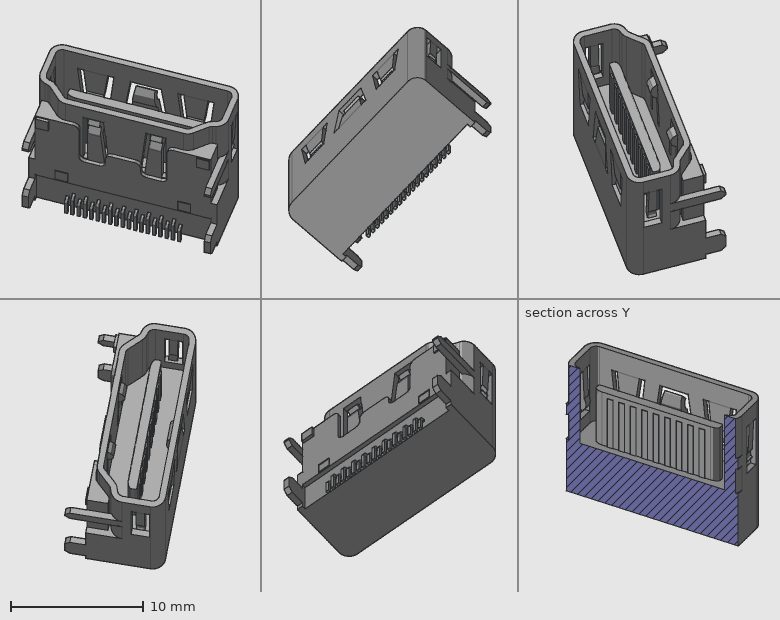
import cadquery as cq
import math


width = 15.0
half_width = width / 2
top_z = 12.0
bottom_z = 0.44
back_y = 5.97
wall = 0.5
corner_radius = 1.0
inner_half_width = half_width - wall

shell_front_y = 0.4
shell_inner_back_y = back_y - wall
shell_side_end_y = 2.05
corner_end_y = 3.0
shell_neck_x = 6.42
shell_neck_y = 1.71
shell_front_x = shell_neck_x - (shell_neck_y - shell_front_y)
neck_radius = corner_radius - wall

block_top_z = 10.22
block_back_y = 1.64
base_top_z = 5.2
shell_gap = 0.1
recess_top_z = 3.4
recess_depth = 0.33

notch_outer_x = 3.51
notch_inner_x = 1.41
notch_bottom_z = 6.3
bridge_top_z = 7.68
notch_radius = 0.5

slot_bottom_z = 6.3
slot_taper = 0.1

front_slot_x = 3.32
front_slot_top_z = 10.9
front_slot_top_width = 1.64
front_spring_x = 2.94
front_spring_top_width = 0.87

back_slot_top_z = 10.23
centre_slot_top_half = 1.23
centre_spring_top_half = 0.75
centre_spring_taper = 0.14
centre_slot_taper = 0.14
back_side_x = 3.99
back_side_slot_top_half = 1.44
back_side_spring_top_half = 0.96
back_side_spring_taper = 0.12

side_slot_back_y = 4.89
side_slot_front_y = 3.5
side_slot_top_z = 10.5
side_spring_back_y = 4.52
side_spring_front_y = 3.85

front_strip_top_z = 9.2
front_bend_points = [(0.08, 9.52), (0.28, 9.8)]
front_crest_z = 9.69
front_crest_depth = 0.93
front_crest_foot_z = 9.08
lead_start = (0.35, 9.95)
lead_angle = 38.0
lead_inner_length = 0.55

strip_lean = 0.1

hanging_crest_z = 7.55
hanging_crest_depth = 0.76
hanging_hollow_depth = 0.28
hanging_hollow_half_height = 0.38
hanging_tip_depth = 0.42
hanging_tip_length = 0.68

centre_crest_z = 9.05
centre_crest_depth = 0.93
centre_hollow_depth = 0.36
centre_hollow_half_height = 0.46
centre_tip_depth = 0.54
centre_tip_length = 0.93

tongue_half_width = 5.42
tongue_back_y = 3.54
tongue_front_y = 2.79
tongue_top_z = 10.04
tongue_back_radius = 0.1
tongue_curve_width = 0.68
tongue_curve_height = 0.25
pad_top_z = 9.6
pad_width = 0.5
back_pad_height = 0.12
front_pad_height = 0.05
back_pad_count = 10
front_pad_count = 9

pin_count = 19
pin_row_length = 9.0
pin_pitch = pin_row_length / (pin_count - 1)
pad_pitch = 2 * pin_pitch
pin_width = 0.24
pin_thickness = 0.24
pin_front_y = -0.12
pin_bend_radius = 0.4
short_pin_top_z = 1.5
long_pin_top_z = 1.95

leg_tip_y = -1.6
leg_chamfer = 0.39
upper_leg_z = (7.41, 8.4)
lower_leg_z = (0.92, 2.95)
standoff_size = 1.02
upper_standoff_x = 6.39
upper_standoff_z = 9.6
lower_standoff_x = 4.89
lower_standoff_z = 4.0
left_standoff_height = 0.22
right_standoff_height = 0.1
lower_standoff_height = 0.06

sides = (-1, 1)


def box(x_range, y_range, z_range):
    """Box between two limits on each axis, given in any order."""
    spans = [sorted(limits) for limits in (x_range, y_range, z_range)]
    size = [high - low for low, high in spans]
    corner = [low for low, high in spans]
    return cq.Workplane("XY").box(*size, centered=False).translate(tuple(corner))


def prism_along_y(points, y_from, y_to):
    """Extrude an XZ outline between two Y positions."""
    return cq.Workplane("XZ", origin=(0, y_from, 0)).polyline(points).close().extrude(y_from - y_to)


def mirrored_in_x(solid):
    return solid.union(solid.mirror("YZ"))


def shell_outline():
    """Closed outer outline of the shell, with rounded corners, as a wire at Z = 0."""
    half_corners = [
        (half_width, back_y, corner_radius),
        (half_width, shell_side_end_y, corner_radius),
        (shell_neck_x, shell_neck_y, neck_radius),
        (shell_front_x, shell_front_y, corner_radius),
    ]
    right = [(x, y) for x, y, radius in half_corners]
    left = [(-x, y) for x, y in reversed(right)]
    prism = cq.Workplane("XY").polyline(right + left).close().extrude(0.15)
    for x, y, radius in half_corners:
        for side in sides:
            corner = cq.selectors.NearestToPointSelector((side * x, y, 0.08))
            prism = prism.edges("|Z").edges(corner).fillet(radius)
    return prism.faces("<Z").wires().val()


def shell_prism(offset, z_from, z_to):
    """Solid with the shell outline grown by an offset."""
    outline = cq.Workplane("XY").add(shell_outline()).toPending()
    if offset:
        outline = outline.offset2D(offset)
    return outline.extrude(z_to - z_from).translate((0, 0, z_from))


def solid_body():
    """Shell outline over the full height, filled out to a square front below the block."""
    square_front = box((-half_width, half_width), (0, corner_end_y), (bottom_z, base_top_z))
    solid = shell_prism(0, bottom_z, top_z).union(square_front)
    recess = box((-inner_half_width, inner_half_width), (0, recess_depth), (bottom_z, recess_top_z))
    return solid.cut(recess)


def front_block():
    block = box((-inner_half_width, inner_half_width), (0, block_back_y), (base_top_z, block_top_z))
    return block.cut(front_notch()).cut(shell_prism(shell_gap, base_top_z, block_top_z))


def front_notch():
    """Opening in the front plate: two deep notches joined above a low bridge."""
    notch = box((notch_inner_x, notch_outer_x), (0, block_back_y), (notch_bottom_z, block_top_z))
    notch = notch.edges("|Y and <Z").fillet(notch_radius)
    middle = box((-notch_outer_x, notch_outer_x), (0, block_back_y), (bridge_top_z, block_top_z))
    opening = mirrored_in_x(notch).union(middle)
    for side in sides:
        opening = opening.union(corner_flare(side * notch_outer_x, block_top_z, side))
        opening = opening.union(corner_flare(side * notch_inner_x, bridge_top_z, -side))
    return opening


def corner_flare(x, z, side):
    """Material between a sharp outside corner at (x, z) and its rounding, on the given side."""
    square = box((x, x + side * notch_radius), (0, block_back_y), (z - notch_radius, z))
    rounding = (
        cq.Workplane("XZ", origin=(x + side * notch_radius, 0, z - notch_radius))
        .circle(notch_radius)
        .extrude(-block_back_y)
    )
    return square.cut(rounding)


def trapezoid(centre_x, half_top, z_top, z_bottom, taper):
    """Symmetric XZ outline that widens downward for a positive taper."""
    half_bottom = half_top + taper * (z_top - z_bottom)
    return [
        (centre_x - half_top, z_top),
        (centre_x + half_top, z_top),
        (centre_x + half_bottom, z_bottom),
        (centre_x - half_bottom, z_bottom),
    ]


def one_sided_trapezoid(outer_x, top_width, z_top):
    """XZ outline on the +X side: upright outer edge, inner edge leaning towards the middle."""
    bottom_width = top_width + slot_taper * (z_top - slot_bottom_z)
    return [
        (outer_x, z_top),
        (outer_x - top_width, z_top),
        (outer_x - bottom_width, slot_bottom_z),
        (outer_x, slot_bottom_z),
    ]


def polar(centre, radius, degrees):
    angle = math.radians(degrees)
    return (centre[0] + radius * math.cos(angle), centre[1] + radius * math.sin(angle))


def front_spring_bar():
    """Upright spring facing +Y, outer face at Y = 0: strip, crest bulging inward, tip leaning back out."""
    lead_run = lead_start[0] / math.cos(math.radians(lead_angle))
    lead_direction = polar((0, 0), 1, 180 - lead_angle)
    tip_outer = polar(lead_start, lead_run, 180 - lead_angle)
    tip_inner = polar(tip_outer, wall, 90 - lead_angle)
    crest_start = polar(tip_inner, lead_inner_length, -lead_angle)
    return (
        cq.Workplane("YZ")
        .moveTo(0, slot_bottom_z)
        .lineTo(0, front_strip_top_z)
        .spline(front_bend_points + [lead_start], tangents=[(0, 1), lead_direction], includeCurrent=True)
        .lineTo(*tip_outer)
        .lineTo(*tip_inner)
        .lineTo(*crest_start)
        .threePointArc((front_crest_depth, front_crest_z), (wall, front_crest_foot_z))
        .lineTo(wall, slot_bottom_z)
        .close()
        .extrude(half_width, both=True)
    )


def bowed_spring(root_z, crest_z, crest_depth, hollow_depth, hollow_half_height, tip_depth, tip_length):
    """Spring from root_z to a bowed end, facing +Y with the outer face of its root at Y = 0."""
    towards_tip = math.copysign(1, crest_z - root_z)
    rise = crest_depth - tip_depth
    crest_radius = (tip_length**2 + rise**2) / (2 * rise)
    strip_inner_depth = wall + strip_lean
    centre_to_strip = strip_inner_depth - (crest_depth - crest_radius)
    crest_half_height = math.sqrt(crest_radius**2 - centre_to_strip**2)
    return (
        cq.Workplane("YZ")
        .moveTo(0, root_z)
        .lineTo(strip_lean, crest_z - towards_tip * hollow_half_height)
        .threePointArc((hollow_depth, crest_z), (strip_lean, crest_z + towards_tip * hollow_half_height))
        .lineTo(tip_depth, crest_z + towards_tip * tip_length)
        .threePointArc((crest_depth, crest_z), (strip_inner_depth, crest_z - towards_tip * crest_half_height))
        .lineTo(wall, root_z)
        .close()
        .extrude(half_width, both=True)
    )


def hanging_spring(root_z):
    return bowed_spring(
        root_z,
        hanging_crest_z,
        hanging_crest_depth,
        hanging_hollow_depth,
        hanging_hollow_half_height,
        hanging_tip_depth,
        hanging_tip_length,
    )


def centre_spring():
    return bowed_spring(
        slot_bottom_z,
        centre_crest_z,
        centre_crest_depth,
        centre_hollow_depth,
        centre_hollow_half_height,
        centre_tip_depth,
        centre_tip_length,
    )


def on_back_wall(spring):
    """Turn a spring so that its outer face lies on the back face of the shell."""
    return spring.rotate((0, 0, 0), (0, 0, 1), 180).translate((0, back_y, 0))


def front_slots():
    outline = one_sided_trapezoid(front_slot_x, front_slot_top_width, front_slot_top_z)
    return mirrored_in_x(prism_along_y(outline, shell_front_y, shell_front_y + wall))


def front_springs():
    outline = one_sided_trapezoid(front_spring_x, front_spring_top_width, front_slot_top_z)
    spring = front_spring_bar().translate((0, shell_front_y, 0))
    return mirrored_in_x(spring.intersect(prism_along_y(outline, 0, back_y)))


def back_slots():
    centre = trapezoid(0, centre_slot_top_half, back_slot_top_z, slot_bottom_z, centre_slot_taper)
    side = trapezoid(back_side_x, back_side_slot_top_half, back_slot_top_z, slot_bottom_z, -slot_taper)
    slots = mirrored_in_x(prism_along_y(side, shell_inner_back_y, back_y))
    return slots.union(prism_along_y(centre, shell_inner_back_y, back_y))


def back_centre_spring():
    tip_z = centre_crest_z + centre_tip_length
    outline = trapezoid(0, centre_spring_top_half, tip_z, slot_bottom_z, centre_spring_taper)
    return on_back_wall(centre_spring()).intersect(prism_along_y(outline, 0, back_y))


def back_side_springs():
    outline = trapezoid(
        back_side_x, back_side_spring_top_half, back_slot_top_z, slot_bottom_z, -back_side_spring_taper
    )
    spring = on_back_wall(hanging_spring(back_slot_top_z))
    return mirrored_in_x(spring.intersect(prism_along_y(outline, 0, back_y)))


def side_slots():
    return box(
        (-half_width, half_width),
        (side_slot_front_y, side_slot_back_y),
        (slot_bottom_z, side_slot_top_z),
    )


def side_springs():
    spring = hanging_spring(side_slot_top_z).rotate((0, 0, 0), (0, 0, 1), -90).translate((-half_width, 0, 0))
    strip = box((-half_width, 0), (side_spring_front_y, side_spring_back_y), (slot_bottom_z, side_slot_top_z))
    return mirrored_in_x(spring.intersect(strip))


def tongue():
    curve_x = tongue_half_width - tongue_curve_width
    curve_y = tongue_front_y + tongue_curve_height
    curve_radius = (tongue_curve_width**2 + tongue_curve_height**2) / (2 * tongue_curve_height)
    half_sweep = math.asin(tongue_curve_width / curve_radius) / 2
    middle_x = curve_x + curve_radius * math.sin(half_sweep)
    middle_y = tongue_front_y + curve_radius * (1 - math.cos(half_sweep))
    body = (
        cq.Workplane("XY", origin=(0, 0, base_top_z))
        .moveTo(-curve_x, tongue_front_y)
        .lineTo(curve_x, tongue_front_y)
        .threePointArc((middle_x, middle_y), (tongue_half_width, curve_y))
        .lineTo(tongue_half_width, tongue_back_y)
        .lineTo(-tongue_half_width, tongue_back_y)
        .lineTo(-tongue_half_width, curve_y)
        .threePointArc((-middle_x, middle_y), (-curve_x, tongue_front_y))
        .close()
        .extrude(tongue_top_z - base_top_z)
        .edges("|Z and >Y")
        .fillet(tongue_back_radius)
    )
    body = body.union(pad_row(back_pad_count, tongue_back_y, tongue_back_y + back_pad_height))
    return body.union(pad_row(front_pad_count, tongue_front_y, tongue_front_y - front_pad_height))


def pad_row(count, root_y, face_y):
    pads = cq.Workplane("XY")
    for index in range(count):
        x = (index - (count - 1) / 2) * pad_pitch
        x_range = (x - pad_width / 2, x + pad_width / 2)
        pads = pads.add(box(x_range, (root_y, face_y), (base_top_z, pad_top_z)))
    return pads.combine()


def pin(x, pin_top_z):
    """Flat pin leaving the recess horizontally and bending down to Z = 0."""
    back = pin_front_y + pin_thickness
    bend_y = pin_front_y + pin_bend_radius
    bend_z = pin_top_z - pin_bend_radius
    inside_radius = pin_bend_radius - pin_thickness
    centre = (bend_y, bend_z)
    middle_of_bend = 135
    return (
        cq.Workplane("YZ", origin=(x - pin_width / 2, 0, 0))
        .moveTo(pin_front_y, 0)
        .lineTo(pin_front_y, bend_z)
        .threePointArc(polar(centre, pin_bend_radius, middle_of_bend), (bend_y, pin_top_z))
        .lineTo(recess_depth, pin_top_z)
        .lineTo(recess_depth, pin_top_z - pin_thickness)
        .lineTo(bend_y, pin_top_z - pin_thickness)
        .threePointArc(polar(centre, inside_radius, middle_of_bend), (back, bend_z))
        .lineTo(back, 0)
        .close()
        .extrude(pin_width)
    )


def pins():
    row = cq.Workplane("XY")
    for index in range(pin_count):
        x = (index - (pin_count - 1) / 2) * pin_pitch
        row = row.add(pin(x, long_pin_top_z if index % 2 else short_pin_top_z))
    return row.combine()


def leg(z_range, root_y):
    blade = box((inner_half_width, half_width), (leg_tip_y, root_y), z_range)
    return mirrored_in_x(blade.edges("|X and <Y").chamfer(leg_chamfer))


def standoff(x, z, height):
    half = standoff_size / 2
    return box((x - half, x + half), (-height, 0), (z - half, z + half))


mouth = shell_prism(-wall, base_top_z, top_z)

result = solid_body().union(front_block())
result = result.union(leg(upper_leg_z, corner_end_y)).union(leg(lower_leg_z, recess_depth))
result = result.cut(mouth).cut(front_slots()).cut(back_slots()).cut(side_slots())
result = result.union(front_springs()).union(back_centre_spring())
result = result.union(back_side_springs()).union(side_springs())
result = result.union(tongue()).union(pins())

result = result.union(standoff(-upper_standoff_x, upper_standoff_z, left_standoff_height))
result = result.union(standoff(upper_standoff_x, upper_standoff_z, right_standoff_height))
for side in sides:
    result = result.union(standoff(side * lower_standoff_x, lower_standoff_z, lower_standoff_height))